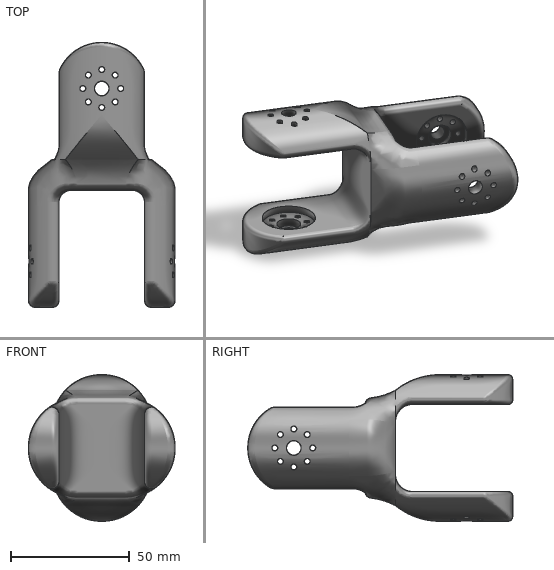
import cadquery as cq
import math

HALF_LENGTH = 55.9
HALF_SPAN = 31.0
SIDE_RADIUS = 21.0
X_GAP_HALF = 18.0
Z_GAP_HALF = 18.3
FLOOR = 6.5
TIP_RADIUS = 19.5
CREASE_OFFSET = 12.0

SHOULDER_RADIUS = 30.0
SHOULDER_START = 25.3

X_GAP_FILLET = 5.0
Z_GAP_FILLET = 7.0
X_EDGE_FILLET = 3.0
Z_EDGE_FILLET = 2.0

RECESS_DIAMETER = 22.4
RECESS_DEPTH = 2.9
COUNTERBORE_DIAMETER = 10.0
COUNTERBORE_DEPTH = 3.2
BORE_DIAMETER = 6.0
BOLT_DIAMETER = 2.3
BOLT_COUNT = 8
BOLT_CIRCLE_DIAMETER = 16.0

SIDE_CENTER = HALF_SPAN - SIDE_RADIUS
HOLE_POSITION = HALF_LENGTH - TIP_RADIUS
SHOULDER_RUN = SHOULDER_START - FLOOR
SHOULDER_CENTER = HALF_SPAN - SHOULDER_RADIUS
SHOULDER_BASE = SHOULDER_CENTER + math.sqrt(SHOULDER_RADIUS**2 - SHOULDER_RUN**2)
SHOULDER_MIDDLE = SHOULDER_CENTER + math.sqrt(SHOULDER_RADIUS**2 - (SHOULDER_RUN / 2) ** 2)
FORK_LENGTH = HALF_LENGTH - FLOOR
WEB_STEPS = 8
SEAM_STEPS = 4
SEAM = -FLOOR - 2 * FLOOR * SEAM_STEPS / WEB_STEPS
TOLERANCE = 0.01
WIDE = 2 * HALF_LENGTH


def prism(start):
    """Stadium-shaped bar, wide in X, from Y = start to the tips of the X fork."""
    return (
        cq.Workplane("XZ", origin=(0, start, 0))
        .slot2D(2 * HALF_SPAN, 2 * SIDE_RADIUS)
        .extrude(HALF_LENGTH + start)
    )


def gap(half_width, fillet):
    """Block removed between the +X and -X arms, with rounded floor corners."""
    return (
        cq.Workplane("XY")
        .box(2 * half_width, FORK_LENGTH * 2, WIDE)
        .edges("|Z")
        .fillet(fillet)
        .translate((0, -FLOOR - FORK_LENGTH, 0))
    )


def round_rim(body, half_width, radius):
    """Round the edges that border the gap between the +X and -X arms."""

    def on_rim(edge):
        box = edge.BoundingBox()
        in_gap = box.ymax < -FLOOR + TOLERANCE and box.ymin > -HALF_LENGTH - TOLERANCE
        beside_tip = box.ymax < -HALF_LENGTH + TOLERANCE
        between_arms = max(box.xmax, -box.xmin) < half_width + TOLERANCE
        at_side = box.zmin * box.zmax > 0
        return in_gap and not beside_tip and between_arms and at_side

    rim = [edge for edge in body.edges().vals() if on_rim(edge)]
    return body.newObject(rim).fillet(radius)


def round_tips(body, radius):
    """Give the +X and -X arms half-round tips about the hole axis and round their edges."""
    corners = (
        cq.Workplane("YZ")
        .moveTo(-HOLE_POSITION, WIDE)
        .lineTo(-HOLE_POSITION, TIP_RADIUS)
        .threePointArc((-HALF_LENGTH, 0), (-HOLE_POSITION, -TIP_RADIUS))
        .lineTo(-HOLE_POSITION, -WIDE)
        .lineTo(-WIDE, -WIDE)
        .lineTo(-WIDE, WIDE)
        .close()
        .extrude(WIDE, both=True)
    )
    body = body.cut(corners)
    tip_faces = [
        face
        for face in body.faces("%CYLINDER").vals()
        if abs(face.BoundingBox().ymin + HALF_LENGTH) < TOLERANCE
        and face.BoundingBox().ymax < -HOLE_POSITION + TOLERANCE
    ]
    edges = [edge for face in tip_faces for edge in face.Edges()]
    return body.newObject(edges).fillet(radius)


def arm_holes(half_width):
    """Stepped bore and bolt circle through the +X and -X arms."""

    def disc(diameter, half_depth):
        return cq.Workplane("YZ").circle(diameter / 2).extrude(half_depth, both=True)

    bolts = (
        cq.Workplane("YZ")
        .polarArray(BOLT_CIRCLE_DIAMETER / 2, 0, 360, BOLT_COUNT)
        .circle(BOLT_DIAMETER / 2)
        .extrude(WIDE, both=True)
    )
    recess_floor = half_width + RECESS_DEPTH
    return (
        disc(RECESS_DIAMETER, recess_floor)
        .union(disc(COUNTERBORE_DIAMETER, recess_floor + COUNTERBORE_DEPTH))
        .union(disc(BORE_DIAMETER, WIDE))
        .union(bolts)
        .translate((0, -HOLE_POSITION, 0))
    )


def to_z_fork(shape):
    """Turn a shape made for the X fork so that it serves the Z fork."""
    return shape.rotate((0, 0, 0), (0, 0, 1), 180).rotate((0, 0, 0), (0, 1, 0), 90)


def shoulder(body):
    """Trim the outer sides of a fork with a curve falling towards the web."""
    keep = (
        cq.Workplane("XY")
        .moveTo(0, -FLOOR)
        .lineTo(SHOULDER_BASE, -FLOOR)
        .threePointArc((SHOULDER_MIDDLE, -FLOOR - SHOULDER_RUN / 2), (HALF_SPAN, -SHOULDER_START))
        .lineTo(HALF_SPAN, -HALF_LENGTH)
        .lineTo(0, -HALF_LENGTH)
        .close()
        .extrude(WIDE, both=True)
    )
    return body.intersect(keep.union(keep.mirror("YZ")))


def web():
    """Blend from the X fork's section at the seam to the Z fork's section, tangent to the X arms."""

    def on_arc(center, angle):
        return (center[0] + SIDE_RADIUS * math.cos(angle), center[1] + SIDE_RADIUS * math.sin(angle))

    x_center = (SIDE_CENTER, 0)
    x_crease = math.asin(CREASE_OFFSET / SIDE_RADIUS)
    x_angles = (math.pi / 2, (math.pi / 2 + x_crease) / 2, x_crease, 0)
    x_points = [on_arc(x_center, angle) for angle in x_angles]
    z_center = (0, SIDE_CENTER)
    z_top = math.asin((SHOULDER_BASE - SIDE_CENTER) / SIDE_RADIUS)
    z_points = [on_arc(z_center, angle) for angle in (z_top, z_top / 2, 0)] + [(SIDE_RADIUS, 0)]

    def section(fraction):
        """Closed outline at a fraction of the way from the X gap floor to the Z gap floor."""
        blend = max(0, fraction) ** 2
        top, corner, side, middle = [
            (a[0] + blend * (b[0] - a[0]), a[1] + blend * (b[1] - a[1])) for a, b in zip(x_points, z_points)
        ]
        y = -FLOOR + 2 * FLOOR * fraction

        def at(point, sx, sz):
            return cq.Vector(sx * point[0], y, sz * point[1])

        def side_edge(sx):
            start, end = at(side, sx, sx), at(side, sx, -sx)
            if fraction == 1:
                return cq.Edge.makeLine(start, end)
            return cq.Edge.makeThreePointArc(start, at(middle, sx, 1), end)

        edges = []
        for s in (1, -1):
            edges.append(cq.Edge.makeLine(at(top, -s, s), at(top, s, s)))
            edges.append(cq.Edge.makeThreePointArc(at(top, s, s), at(corner, s, s), at(side, s, s)))
            edges.append(side_edge(s))
            edges.append(cq.Edge.makeThreePointArc(at(side, s, -s), at(corner, s, -s), at(top, s, -s)))
        return cq.Wire.assembleEdges(edges)

    sections = [section(step / WEB_STEPS) for step in range(-SEAM_STEPS, WEB_STEPS + 1)]
    return cq.Workplane(cq.Solid.makeLoft(sections))


def opened(body, half_width, floor_fillet, rim_radius):
    """Cut the gap between the arms and round its rim."""
    return round_rim(body.cut(gap(half_width, floor_fillet)), half_width, rim_radius)


z_fork = opened(prism(0), Z_GAP_HALF, Z_GAP_FILLET, Z_EDGE_FILLET)
z_fork = round_tips(shoulder(z_fork), Z_EDGE_FILLET)
z_fork = to_z_fork(z_fork.cut(arm_holes(Z_GAP_HALF)))

x_arms = opened(prism(SEAM), X_GAP_HALF, X_GAP_FILLET, X_EDGE_FILLET)
x_arms = round_tips(x_arms, X_EDGE_FILLET).cut(arm_holes(X_GAP_HALF))
middle = opened(web(), X_GAP_HALF, X_GAP_FILLET, X_EDGE_FILLET)

result = middle.union(x_arms).union(z_fork)